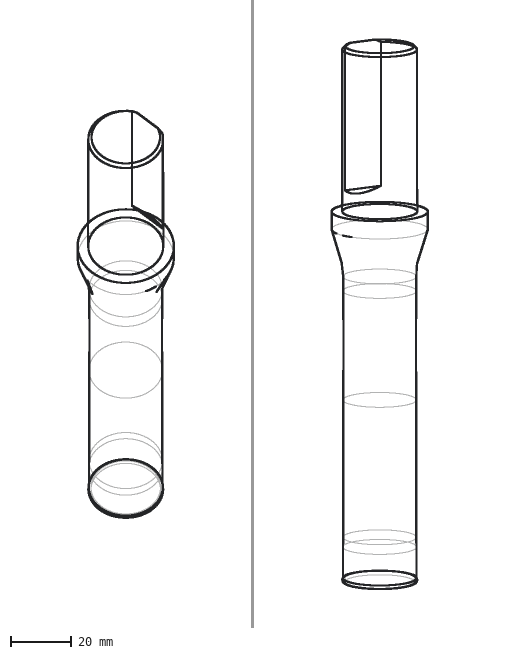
import cadquery as cq

overall_length = 182.0
flange_top = 126.0
flange_bottom = 120.0
throat_height = 106.7
collar_top = 104.0
collar_bottom = 99.0
pilot_top = 62.0
step_top = 15.5
step_bottom = 12.2
disc_top = 1.6
disc_rim_bottom = 0.4

shank_diameter = 25.0
flange_diameter = 32.0
throat_diameter = 24.8
pilot_diameter = 24.4
collar_diameter = pilot_diameter
neck_diameter = 24.2
end_diameter = 24.5
disc_diameter = 25.0

shank_chamfer = 1.1
disc_edge_depth = 1.0

flat_depth = 2.2
flat_bottom = 132.1

shank_radius = shank_diameter / 2
flange_radius = flange_diameter / 2
collar_radius = collar_diameter / 2
neck_radius = neck_diameter / 2
pilot_radius = pilot_diameter / 2
end_radius = end_diameter / 2
disc_radius = disc_diameter / 2


def revolve_about_z(outline):
    """Revolve a closed (radius, height) outline a full turn about Z."""
    return outline.close().revolve(360, (0, 0), (0, 1))


def make_flat_cutter():
    """Material removed from the shank above the run-out slope."""
    flat_offset = shank_radius - flat_depth
    side_profile = [
        (flat_offset, overall_length),
        (flat_offset, flat_bottom),
        (shank_radius, flat_bottom - flat_depth),
        (shank_radius, overall_length),
    ]
    return cq.Workplane("YZ").polyline(side_profile).close().extrude(shank_radius, both=True)


def make_holder():
    """Flatted shank, flange, flare, collar, slim neck, pilot and stepped lower end."""
    flare_width = flange_radius - throat_diameter / 2
    outline = (
        cq.Workplane("XZ")
        .moveTo(0, disc_top)
        .lineTo(end_radius, disc_top)
        .lineTo(end_radius, step_bottom)
        .lineTo(pilot_radius, step_top)
        .lineTo(pilot_radius, pilot_top)
        .threePointArc((neck_radius, (pilot_top + collar_bottom) / 2), (collar_radius, collar_bottom))
        .lineTo(collar_radius, collar_top)
        .spline(
            [(throat_diameter / 2, throat_height), (flange_radius, flange_bottom)],
            tangents=[(0, 1), (flare_width, flange_bottom - throat_height)],
            includeCurrent=True,
        )
        .lineTo(flange_radius, flange_top)
        .lineTo(shank_radius, flange_top)
        .lineTo(shank_radius, overall_length - shank_chamfer)
        .lineTo(shank_radius - shank_chamfer, overall_length)
        .lineTo(0, overall_length)
    )
    return revolve_about_z(outline).cut(make_flat_cutter())


def make_cutting_disc():
    """Thin disc under the holder, with a rounded rim and a shallow conical underside."""
    flat_radius = disc_radius - disc_edge_depth
    rim_middle = (disc_rim_bottom + disc_top) / 2
    outline = (
        cq.Workplane("XZ")
        .lineTo(flat_radius, disc_rim_bottom)
        .threePointArc((disc_radius, rim_middle), (flat_radius, disc_top))
        .lineTo(0, disc_top)
    )
    return revolve_about_z(outline)


holder = make_holder()
cutting_disc = make_cutting_disc()
result = cq.Compound.makeCompound([holder.val(), cutting_disc.val()])